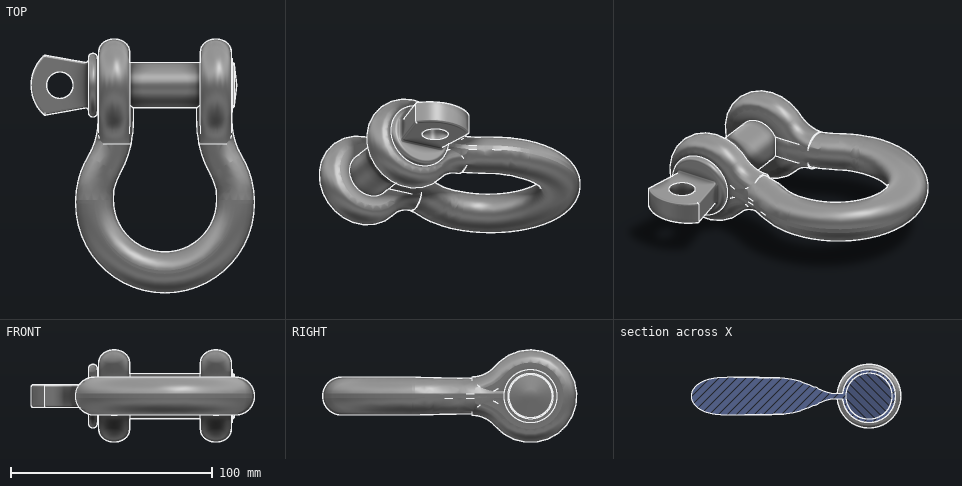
import cadquery as cq
import math


bow_radius = 35.0
tube_radius = 9.5
flash_half = 1.1
bow_outer = bow_radius + math.sqrt(tube_radius**2 - flash_half**2)
shackle_length = 126.23
eye_radius = 46.14 / 2
bow_shift = 1.55
outer_centre_y = eye_radius - shackle_length + bow_outer
inner_centre_y = outer_centre_y + bow_shift

arm_angle = 30.0
shoulder_radius = 9.1
leg_radius = 8.875
leg_x = 24.5
leg_top_y = -10.0

eye_x = 25.25
eye_half_width = 7.8
eye_crown = 6.57
pad_radius = 13.2
pad_height = 0.5
web_blend_radius = 15.2
web_half_height = 9.6

pin_radius = 11.3
pin_end_x = 34.4
pin_cone_height = 1.3
pin_cone_radius = 10.7
pin_end_chamfer = pin_radius - pin_cone_radius
collar_inner_x = -(eye_x + eye_half_width + pad_height)
collar_round = 2.25
collar_radius = 15.9

overall_width = 110.97
tab_end_x = bow_outer - overall_width
tab_thickness = 11.4
tab_root_half = 11.1
tab_tip_half = 15.0
tab_end_radius = 20.1
tab_edge_round = 1.2
tab_root_round = 1.3
tab_hole_diameter = 13.0
tab_hole_x = -52.2


def tube_section(plane, radius):
    """Round tube section with the parting flat on the side toward local -x."""
    flat_x = -math.sqrt(radius**2 - flash_half**2)
    return (
        cq.Workplane(plane)
        .moveTo(flat_x, -flash_half)
        .threePointArc((radius, 0), (flat_x, flash_half))
        .close()
    )


def make_bow():
    start = cq.Plane(origin=(0, inner_centre_y, 0), xDir=(1, 0, 0), normal=(0, -1, 0))
    outer_start = cq.Plane(origin=(0, outer_centre_y, 0), xDir=(1, 0, 0), normal=(0, -1, 0))
    arc_x = -bow_radius - tube_radius * math.cos(math.pi / 4)
    arc_z = tube_radius * math.sin(math.pi / 4)

    def outer_half(plane):
        return (
            cq.Workplane(plane)
            .moveTo(-bow_radius, -tube_radius)
            .threePointArc((arc_x, -arc_z), (-bow_outer, -flash_half))
            .lineTo(-bow_outer, flash_half)
            .threePointArc((arc_x, arc_z), (-bow_radius, tube_radius))
            .close()
        )

    inner_half = (
        cq.Workplane(start)
        .moveTo(-bow_radius, -tube_radius)
        .threePointArc((tube_radius - bow_radius, 0), (-bow_radius, tube_radius))
        .close()
        .revolve(180, (0, 0), (0, 1))
    )
    curve = outer_half(outer_start).revolve(180, (0, 0), (0, 1))
    stub = outer_half(start).extrude(bow_shift)
    crescent = (
        cq.Workplane("XY", origin=(0, 0, -tube_radius))
        .moveTo(-bow_radius, inner_centre_y)
        .lineTo(-bow_radius, outer_centre_y)
        .threePointArc((0, outer_centre_y - bow_radius), (bow_radius, outer_centre_y))
        .lineTo(bow_radius, inner_centre_y)
        .threePointArc((0, inner_centre_y - bow_radius), (-bow_radius, inner_centre_y))
        .close()
        .extrude(2 * tube_radius)
    )
    return inner_half.union(crescent).union(curve).union(stub).union(stub.mirror("YZ"))


def arc_tube(centre, radius, angles, outward, radii):
    """Tapered tube along an arc; outward is the side of the parting flat."""
    def point(angle):
        return (
            centre[0] + radius * math.cos(math.radians(angle)),
            centre[1] + radius * math.sin(math.radians(angle)),
        )

    first, last = angles
    path = (
        cq.Workplane("XY")
        .moveTo(*point(first))
        .threePointArc(point((first + last) / 2), point(last))
    )
    turn = math.copysign(1, last - first)
    sections = []
    for angle, tube in zip(angles, radii):
        cosine = math.cos(math.radians(angle))
        sine = math.sin(math.radians(angle))
        plane = cq.Plane(
            origin=(*point(angle), 0),
            xDir=(-outward * cosine, -outward * sine, 0),
            normal=(-turn * sine, turn * cosine, 0),
        )
        sections.append(tube_section(plane, tube).val())
    return cq.Workplane(cq.Solid.sweep_multi(sections, path.val()))


def make_arm():
    """Left arm, from the bow up to the eye."""
    sine = math.sin(math.radians(arm_angle))
    cosine = math.cos(math.radians(arm_angle))
    bend_radius = (bow_radius * cosine - leg_x) / (1 - cosine)
    bend_centre = (-leg_x - bend_radius, inner_centre_y + (bow_radius + bend_radius) * sine)
    lower = arc_tube(
        (0, inner_centre_y), bow_radius, (180, 180 - arm_angle), 1, (tube_radius, shoulder_radius)
    )
    upper = arc_tube(bend_centre, bend_radius, (-arm_angle, 0), -1, (shoulder_radius, leg_radius))
    leg_plane = cq.Plane(origin=(-leg_x, bend_centre[1], 0), xDir=(1, 0, 0), normal=(0, 1, 0))
    leg = tube_section(leg_plane, leg_radius).extrude(leg_top_y - bend_centre[1])
    return lower.union(upper).union(leg)


def crowned_outline(origin, base, spring):
    """Half outline across the left eye: flat sides from base to spring, then an elliptical crown."""
    return (
        cq.Workplane("XY", origin=origin)
        .moveTo(-eye_half_width, base)
        .lineTo(eye_half_width, base)
        .lineTo(eye_half_width, spring)
        .ellipseArc(eye_half_width, eye_crown, 0, 180)
        .close()
    )


def make_eye():
    """Left eye: crowned disc with a raised pad on its outer face."""
    disc = crowned_outline((-eye_x, 0, 0), 0, eye_radius - eye_crown).revolve(360, (0, 0), (1, 0))
    pad = (
        cq.Workplane("YZ", origin=(collar_inner_x, 0, 0))
        .circle(pad_radius)
        .extrude(eye_half_width)
    )
    return disc.union(pad)


def make_web():
    """Concave crowned blends, above and below, from the left eye down onto the leg."""
    centre_z = web_half_height + web_blend_radius
    centre_y = -math.sqrt((eye_radius + web_blend_radius) ** 2 - centre_z**2)
    tangent_angle = math.degrees(math.atan2(-centre_y, centre_z))
    web = (
        crowned_outline((-eye_x, 0, 0), -centre_z, -web_blend_radius - eye_crown)
        .revolve(tangent_angle, (0, 0), (1, 0))
        .rotate((0, 0, 0), (1, 0, 0), 90)
        .translate((0, centre_y, centre_z))
    )
    return web.union(web.mirror("XY"))


def make_shackle():
    side = make_arm().union(make_eye()).union(make_web())
    body = make_bow().union(side).union(side.mirror("YZ"))
    hole = cq.Workplane("YZ").circle(pin_radius).extrude(bow_outer, both=True)
    return body.cut(hole)


def make_pin():
    collar_outer_x = collar_inner_x - 2 * collar_round
    collar_flat = collar_radius - collar_round
    turned = (
        cq.Workplane("XY")
        .moveTo(collar_outer_x, 0)
        .lineTo(collar_outer_x, collar_flat)
        .threePointArc((collar_outer_x + collar_round, collar_radius), (collar_inner_x, collar_flat))
        .lineTo(collar_inner_x, pin_radius)
        .lineTo(pin_end_x - pin_end_chamfer, pin_radius)
        .lineTo(pin_end_x, pin_cone_radius)
        .lineTo(pin_end_x + pin_cone_height, 0)
        .close()
        .revolve(360, (0, 0), (1, 0))
    )
    sagitta = tab_end_radius - math.sqrt(tab_end_radius**2 - tab_tip_half**2)
    tip_x = tab_end_x + sagitta
    tab = (
        cq.Workplane("XY")
        .moveTo(collar_outer_x, -tab_root_half)
        .lineTo(collar_outer_x, tab_root_half)
        .lineTo(tip_x, tab_tip_half)
        .threePointArc((tab_end_x, 0), (tip_x, -tab_tip_half))
        .close()
        .extrude(tab_thickness / 2, both=True)
        .faces("|Z")
        .edges("not >X")
        .fillet(tab_edge_round)
    )
    tab_hole = (
        cq.Workplane("XY")
        .center(tab_hole_x, 0)
        .circle(tab_hole_diameter / 2)
        .extrude(tab_thickness, both=True)
    )
    root_edges = cq.selectors.BoxSelector(
        (collar_outer_x - tab_root_round / 2, -collar_radius, -tab_thickness),
        (collar_outer_x + tab_root_round / 2, collar_flat - tab_root_round, tab_thickness),
    )
    return turned.union(tab).edges(root_edges).fillet(tab_root_round).cut(tab_hole)


shackle = make_shackle()
pin = make_pin()

result = cq.Compound.makeCompound([shackle.solids().val(), pin.solids().val()])